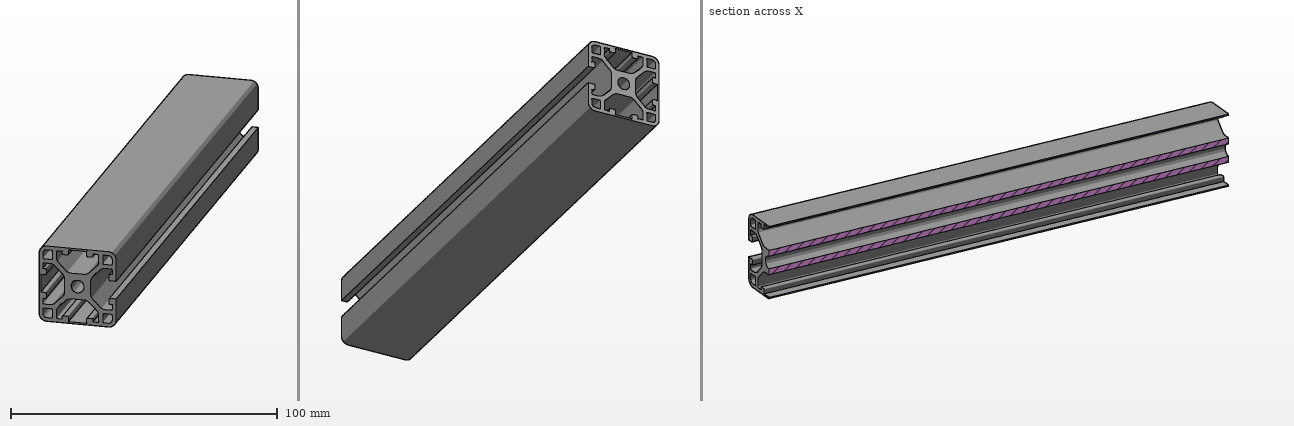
import cadquery as cq
import math

length = 200.0
side = 30.0
half = side / 2
corner_radius = 3.0
wall = 1.5
cavity_reach = half - wall
edge_round = 0.5

cell_inner = 9.8
cell_size = cavity_reach - cell_inner
cell_corner_radius = 1.5

core_width = 10.2
channel_floor = core_width / 2
channel_half_width = 8.2
channel_side_blend = 2.8
channel_floor_blend = 3.0
rib_thickness = 2.0
rib_offset = rib_thickness / math.sqrt(2)
lip_bottom = 12.2
lip_half_width = 6.0
mouth_width = 7.0
mouth_half_width = mouth_width / 2
cover_thickness = 0.7

bore_diameter = 5.0


def prism(outline):
    """Extrude an XZ sketch along the whole profile."""
    return outline.extrude(length / 2, both=True)


def edges_at_height(height):
    """Selector for the edges that lie at one height."""
    margin = 0.02
    return cq.selectors.BoxSelector(
        (-side, -length, height - margin),
        (side, length, height + margin),
    )


def channel(mouth_top):
    """Channel above the profile axis, its mouth reaching up to `mouth_top`."""
    floor_half_width = channel_floor - rib_offset
    bend_height = channel_half_width + rib_offset
    right_half = [
        (floor_half_width, channel_floor),
        (channel_half_width, bend_height),
        (channel_half_width, cavity_reach),
        (lip_half_width, cavity_reach),
        (lip_half_width, lip_bottom),
        (mouth_half_width, lip_bottom),
        (mouth_half_width, mouth_top),
    ]
    left_half = [(-x, z) for x, z in reversed(right_half)]
    shape = prism(cq.Workplane("XZ").polyline(right_half + left_half).close())
    outermost = "|Y and (<X or >X)"
    for candidates, height, radius in (
        (outermost, bend_height, channel_side_blend),
        (outermost, cavity_reach, edge_round),
        ("|Y", channel_floor, channel_floor_blend),
        ("|Y", lip_bottom, edge_round),
    ):
        shape = shape.edges(candidates).edges(edges_at_height(height)).fillet(radius)
    return shape


def corner_cell():
    """Square cell in the +X +Z corner, most rounded at its outermost edge."""
    middle = (cell_inner + cavity_reach) / 2
    return (
        cq.Workplane("XY")
        .box(cell_size, length, cell_size)
        .edges(">X and >Z")
        .fillet(cell_corner_radius)
        .edges("|Y and (<X or <Z)")
        .fillet(edge_round)
        .translate((middle, 0, middle))
    )


body = cq.Workplane("XY").box(side, length, side).edges("|Y").fillet(corner_radius)
profile = body.cut(prism(cq.Workplane("XZ").circle(bore_diameter / 2)))

open_side = 1
for quarter_turns in range(4):
    mouth_top = half if quarter_turns == open_side else half - cover_thickness
    for cutter in (channel(mouth_top), corner_cell()):
        profile = profile.cut(cutter.rotate((0, 0, 0), (0, 1, 0), 90 * quarter_turns))

result = profile.solids()